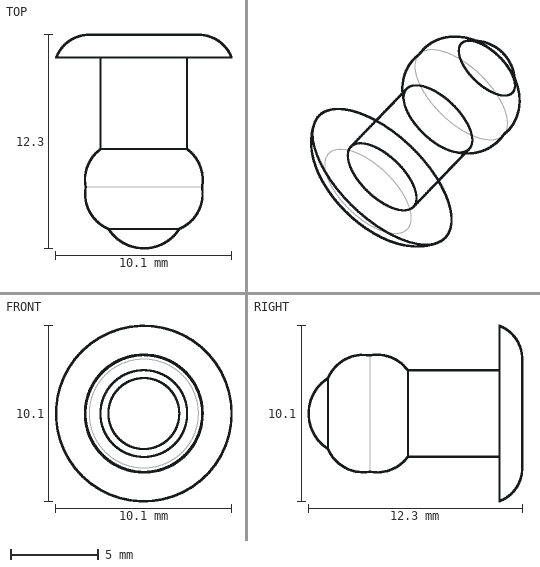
import cadquery as cq

head_radius = 5.04
head_thickness = 1.33
head_flat_radius = 3.13
head_rim_width = head_radius - head_flat_radius
head_rim_arc_radius = (head_rim_width**2 + head_thickness**2) / (2 * head_thickness)

shank_radius = 2.49
shank_length = 5.24

lobe_arc_radius = 2.21
crease_radius = 3.35
rear_lobe_length = 2.18
front_lobe_length = 2.4

tip_base_radius = 2.04
tip_length = 1.12
tip_sphere_radius = (tip_base_radius**2 + tip_length**2) / (2 * tip_length)

shank_end_y = -shank_length
crease_y = shank_end_y - rear_lobe_length
tip_base_y = crease_y - front_lobe_length
tip_y = tip_base_y - tip_length

profile = (
    cq.Workplane("XY")
    .moveTo(0, head_thickness)
    .lineTo(head_flat_radius, head_thickness)
    .radiusArc((head_radius, 0), head_rim_arc_radius)
    .lineTo(shank_radius, 0)
    .lineTo(shank_radius, shank_end_y)
    .radiusArc((crease_radius, crease_y), lobe_arc_radius)
    .radiusArc((tip_base_radius, tip_base_y), lobe_arc_radius)
    .radiusArc((0, tip_y), tip_sphere_radius)
    .close()
)

result = profile.revolve(360, (0, 0, 0), (0, 1, 0))